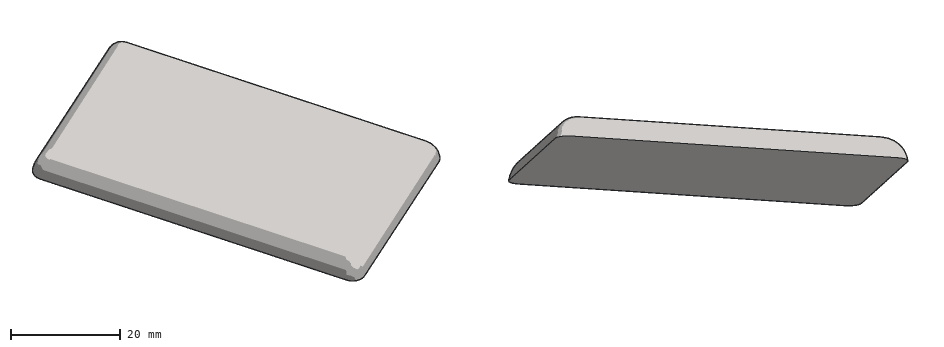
import cadquery as cq
import math

length = 66.88
width = 37.2
height = 5.0

rim_radius = 5.5
corner_radius = 2.5

center_drop = rim_radius - height
rim_inset = math.sqrt(rim_radius**2 - center_drop**2)
flat_length = length - 2 * rim_inset
flat_width = width - 2 * rim_inset


def domed_bar(plane, flat_span, depth):
    """Bar with a flat top and a quarter circle along both long edges, base at the circle centres."""
    half_flat = flat_span / 2
    half_base = half_flat + rim_radius
    arc_mid_offset = rim_radius * math.sin(math.pi / 4)
    arc_mid_x = half_flat + arc_mid_offset
    arc_mid_z = arc_mid_offset - center_drop
    return (
        cq.Workplane(plane)
        .moveTo(-half_base, -center_drop)
        .lineTo(half_base, -center_drop)
        .threePointArc((arc_mid_x, arc_mid_z), (half_flat, height))
        .lineTo(-half_flat, height)
        .threePointArc((-arc_mid_x, arc_mid_z), (-half_base, -center_drop))
        .close()
        .extrude(depth / 2, both=True)
    )


def mitred_slab():
    """Full-depth slab with the rounded rim on all four sides, mitred at the corners."""
    full_length = flat_length + 2 * rim_radius
    full_width = flat_width + 2 * rim_radius
    across_length = domed_bar("XZ", flat_length, full_width)
    across_width = domed_bar("YZ", flat_width, full_length)
    return across_length.intersect(across_width)


def round_corners(slab):
    """Round the four mitre ridges; the rounding fades out at the flat top."""
    ridges = slab.edges("not(#Z or |X or |Y)")
    return ridges.fillet(corner_radius)


def trim_to_base(slab):
    """Keep only the part of the slab above the base plane Z = 0."""
    keep = cq.Workplane("XY").box(2 * length, 2 * width, 2 * height, centered=(True, True, False))
    return slab.intersect(keep)


result = trim_to_base(round_corners(mitred_slab()))